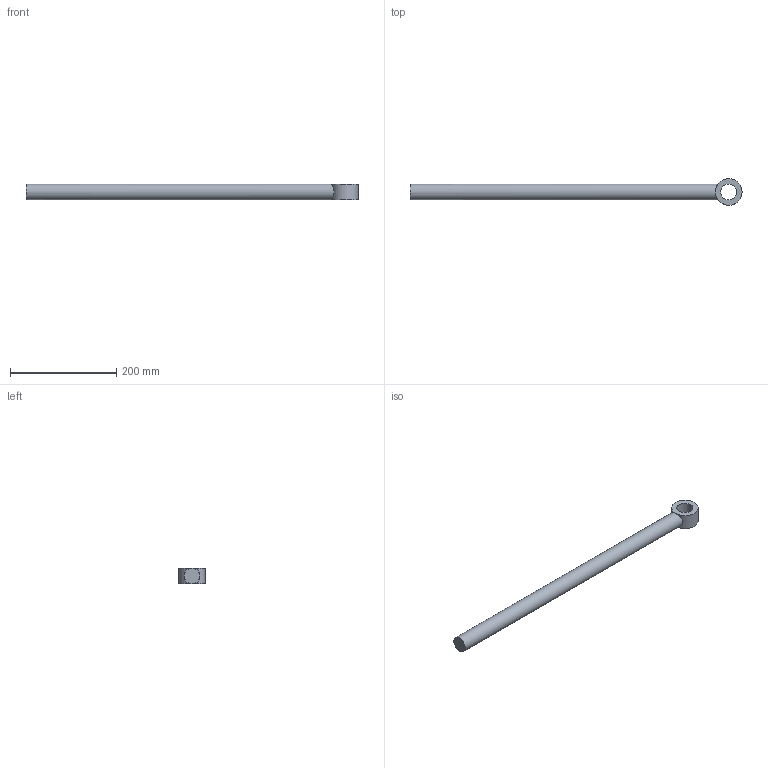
import cadquery as cq

overall_length = 625.0
eye_diameter = 50.0
eye_bore_diameter = 30.0
eye_height = 30.0
rod_diameter = 30.0

rod_length = overall_length - eye_diameter / 2

eye_base = cq.Plane(origin=(0, 0, -eye_height / 2), xDir=(-1, 0, 0), normal=(0, 0, 1))


def make_rod():
    """Round rod along X, starting inside the eye at its axis."""
    return cq.Workplane("YZ").circle(rod_diameter / 2).extrude(-rod_length)


def make_upright_cylinder(diameter):
    """Cylinder along Z, as tall as the eye and centred on the origin."""
    return cq.Workplane(eye_base).circle(diameter / 2).extrude(eye_height)


eye = make_upright_cylinder(eye_diameter)
bore = make_upright_cylinder(eye_bore_diameter)

result = eye.union(make_rod()).cut(bore)